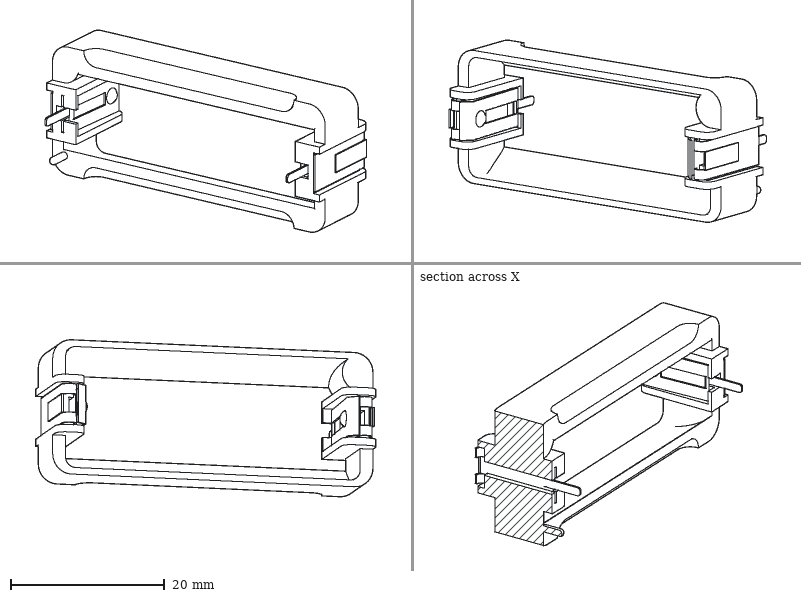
import cadquery as cq
import math

LENGTH = 43.0
HEIGHT = 17.75
FRAME_DEPTH = 7.65
CORNER_RADIUS = 2.55
END_WALL = 1.7
WINDOW_HEIGHT = 10.9
CELL_RADIUS = 8.0
SEAT_END_FILLET = 1.38
GROOVE_RADIUS = 1.95
GROOVE_END_MARGIN = 6.9
KEY_RADIUS = 2.4
POST_RADIUS = 0.5
POST_LENGTH = 2.92
POST_TIP_ROUND = 0.47
POST_INSET = 1.85
POST_Z = -6.28

BLOCK_FRONT = -1.35
BLOCK_BACK = 10.28
BLOCK_HEIGHT = 7.6
BLOCK_ROUND = 1.35
LEFT_BLOCK_WIDTH = 4.6
RIGHT_BLOCK_WIDTH = 3.83
LEFT_PASSAGE_INSET = 1.55
RIGHT_PASSAGE_INSET = 1.75
PASSAGE_HEIGHT = 1.95
CHANNEL_HEIGHT = 5.65
WEB_BACK = 9.25
BLOCK_FRONT_WALL = 0.55
PIN_SLOT_WIDTH = 0.3

STRIP = 0.25
CONTACT_HEIGHT = 5.1
SPRING_WINDOW_HEIGHT = 1.7
SPRING_WINDOW_END = 6.65
OUTER_LEG_INSET = 0.8
PIN_INSET = 2.5
WRAP_Y = 9.7
FOLD_INSET = 3.4
FOLD_Y = -0.47
KNEE_Y = FOLD_Y + FOLD_INSET - PIN_INSET
SPRING_INSET = 3.83
LIP_START_Y = 9.6
LIP_END_INSET = 2.6
LIP_END_Y = 10.75
TAB_HEIGHT = 2.45
TAB_INSET = 0.65
TAB_START = 3.22
TAB_END = 10.3
PIN_WIDTH = 1.15
PIN_TIP_Y = -5.2
PIN_TIP_RADIUS = 0.45
DIMPLE_RADIUS = 1.05
DIMPLE_RISE = 0.55
DIMPLE_Y = 8.0

LEFT_END = -LENGTH / 2
HALF_STRIP = STRIP / 2
WEB_OUTER = OUTER_LEG_INSET + HALF_STRIP
WEB_INNER = PIN_INSET - HALF_STRIP


def box(x_range, y_range, height):
    """Box between two X and two Y values, centred on Z = 0."""
    (x0, x1), (y0, y1) = x_range, y_range
    corner_box = cq.Workplane("XY").box(x1 - x0, y1 - y0, height, centered=(False, False, True))
    return corner_box.translate((x0, y0, 0))


def end_box(inset_range, y_range, height):
    """Box at the left end, placed by its insets."""
    inset0, inset1 = inset_range
    return box((LEFT_END + inset0, LEFT_END + inset1), y_range, height)


def to_right_end(body):
    return body.mirror("YZ")


def frame_outline():
    outline = box((LEFT_END, -LEFT_END), (0, FRAME_DEPTH), HEIGHT)
    return outline.edges("|Y").fillet(CORNER_RADIUS)


def battery_cavity():
    """Cylindrical seat open to the back, joined to a plain window through the front."""
    inner_length = LENGTH - 2 * END_WALL
    lip = WINDOW_HEIGHT / 2
    axis_y = math.sqrt(CELL_RADIUS**2 - lip**2)
    seat_profile = (
        cq.Workplane("YZ", origin=(-inner_length / 2, 0, 0))
        .moveTo(FRAME_DEPTH, CELL_RADIUS)
        .lineTo(axis_y, CELL_RADIUS)
        .threePointArc((axis_y - CELL_RADIUS, 0), (axis_y, -CELL_RADIUS))
        .lineTo(FRAME_DEPTH, -CELL_RADIUS)
        .close()
        .extrude(inner_length)
    )
    seat_bounds = box((-inner_length / 2, inner_length / 2), (0, FRAME_DEPTH), 2 * CELL_RADIUS)
    seat = seat_profile.intersect(seat_bounds.edges("|Y").fillet(SEAT_END_FILLET))
    window = box((-inner_length / 2, inner_length / 2), (0, FRAME_DEPTH), WINDOW_HEIGHT)
    return seat.union(window)


def finger_groove(z):
    """Round groove with ball ends along one front outer edge."""
    half_length = LENGTH / 2 - GROOVE_END_MARGIN
    start = (-half_length, 0, z)
    groove = cq.Workplane("YZ", origin=start).circle(GROOVE_RADIUS).extrude(2 * half_length)
    for x in (-half_length, half_length):
        groove = groove.union(cq.Workplane("XY", origin=(x, 0, z)).sphere(GROOVE_RADIUS))
    return groove


def polarity_key():
    """Quarter-round filling in the upper left corner of the window."""
    key_z = BLOCK_HEIGHT / 2 + KEY_RADIUS
    key = (
        cq.Workplane("XZ", origin=(LEFT_END + END_WALL, 0, key_z))
        .circle(KEY_RADIUS)
        .extrude(-FRAME_DEPTH)
    )
    return key.intersect(frame_outline())


def locating_post():
    base = (LEFT_END + POST_INSET, 0, POST_Z)
    post = cq.Workplane("XZ", origin=base).circle(POST_RADIUS).extrude(POST_LENGTH)
    return post.faces("<Y").edges().fillet(POST_TIP_ROUND)


def block_blank(width):
    block = end_box((0, width), (BLOCK_FRONT, BLOCK_BACK), BLOCK_HEIGHT)
    return block.edges("|Z and >Y").fillet(BLOCK_ROUND)


def block_recesses(width, passage_inset):
    """Everything removed from a terminal block to take its contact."""
    outer_channel = end_box((0, WEB_OUTER), (BLOCK_FRONT, BLOCK_BACK), CHANNEL_HEIGHT)
    back_channel = end_box((0, width), (WEB_BACK, BLOCK_BACK), CHANNEL_HEIGHT)
    pocket = end_box((WEB_INNER, width), (BLOCK_FRONT + BLOCK_FRONT_WALL, BLOCK_BACK), CHANNEL_HEIGHT)
    passage = end_box((passage_inset, width), (BLOCK_FRONT, BLOCK_BACK), PASSAGE_HEIGHT)
    return outer_channel.union(back_channel).union(pocket).union(passage)


def make_housing():
    housing = frame_outline().cut(battery_cavity())
    housing = housing.union(polarity_key())
    for z in (-HEIGHT / 2, HEIGHT / 2):
        housing = housing.cut(finger_groove(z))
    housing = housing.union(locating_post())

    left_recesses = block_recesses(LEFT_BLOCK_WIDTH, LEFT_PASSAGE_INSET)
    pin_slot = end_box(
        (PIN_INSET - PIN_SLOT_WIDTH / 2, PIN_INSET + PIN_SLOT_WIDTH / 2),
        (BLOCK_FRONT, BLOCK_FRONT + BLOCK_FRONT_WALL),
        CONTACT_HEIGHT,
    )
    housing = housing.union(block_blank(LEFT_BLOCK_WIDTH)).cut(left_recesses).cut(pin_slot)

    right_recesses = block_recesses(RIGHT_BLOCK_WIDTH, RIGHT_PASSAGE_INSET)
    housing = housing.union(to_right_end(block_blank(RIGHT_BLOCK_WIDTH)))
    return housing.cut(to_right_end(right_recesses))


def plate(start, end):
    """Flat stretch of strip between two (inset, Y) points of its mid-line."""
    run = (end[0] - start[0], end[1] - start[1])
    middle = ((start[0] + end[0]) / 2, (start[1] + end[1]) / 2)
    flat = cq.Workplane("XY").box(math.hypot(*run), STRIP, CONTACT_HEIGHT)
    flat = flat.rotate((0, 0, 0), (0, 0, 1), math.degrees(math.atan2(run[1], run[0])))
    return flat.translate((LEFT_END + middle[0], middle[1], 0))


def strip_corner(point):
    """Round that joins two flat stretches at a bend."""
    base = (LEFT_END + point[0], point[1], -CONTACT_HEIGHT / 2)
    return cq.Workplane("XY", origin=base).circle(HALF_STRIP).extrude(CONTACT_HEIGHT)


def wrap_bend():
    """Half-turn of the strip over the back of the web."""
    radius = (PIN_INSET - OUTER_LEG_INSET) / 2
    base = (LEFT_END + OUTER_LEG_INSET + radius, WRAP_Y, -CONTACT_HEIGHT / 2)
    ring = (
        cq.Workplane("XY", origin=base)
        .circle(radius + HALF_STRIP)
        .circle(radius - HALF_STRIP)
        .extrude(CONTACT_HEIGHT)
    )
    return ring.intersect(end_box((0, 2 * PIN_INSET), (WRAP_Y, WRAP_Y + PIN_INSET), CONTACT_HEIGHT))


def contact_strip():
    """Strip from the outer leg, over the web, down to the fold and back up to the lip."""
    spring_line = [
        (PIN_INSET, WRAP_Y),
        (PIN_INSET, KNEE_Y),
        (FOLD_INSET, FOLD_Y),
        (SPRING_INSET, LIP_START_Y),
        (LIP_END_INSET, LIP_END_Y),
    ]
    strip = plate((OUTER_LEG_INSET, BLOCK_FRONT), (OUTER_LEG_INSET, WRAP_Y)).union(wrap_bend())
    for start, end in zip(spring_line, spring_line[1:]):
        strip = strip.union(plate(start, end))
    for bend in spring_line[1:-1]:
        strip = strip.union(strip_corner(bend))
    return strip


def spring_window():
    """Opening through the spring leg behind the fold."""
    inset_range = (FOLD_INSET - STRIP, SPRING_INSET + STRIP)
    return end_box(inset_range, (FOLD_Y + STRIP, SPRING_WINDOW_END), SPRING_WINDOW_HEIGHT)


def latch_tab():
    """Straight tongue left standing where the strip bends over the web."""
    return end_box((TAB_INSET - HALF_STRIP, TAB_INSET + HALF_STRIP), (TAB_START, TAB_END), TAB_HEIGHT)


def solder_pin():
    pin = end_box((PIN_INSET - HALF_STRIP, PIN_INSET + HALF_STRIP), (PIN_TIP_Y, KNEE_Y), PIN_WIDTH)
    return pin.edges("|X and <Y").fillet(PIN_TIP_RADIUS)


def contact_dimple():
    """Spherical cap on the inward face of the spring leg, rooted in the leg's mid-line."""
    ball_radius = (DIMPLE_RADIUS**2 + DIMPLE_RISE**2) / (2 * DIMPLE_RISE)
    rise = DIMPLE_RISE + HALF_STRIP
    rim = math.sqrt(ball_radius**2 - (ball_radius - rise) ** 2)
    half_angle = math.acos(1 - rise / ball_radius) / 2
    shoulder = (
        rise - ball_radius + ball_radius * math.cos(half_angle),
        ball_radius * math.sin(half_angle),
    )
    return (
        cq.Workplane("XY", origin=(LEFT_END + SPRING_INSET, DIMPLE_Y, 0))
        .lineTo(rise, 0)
        .threePointArc(shoulder, (0, rim))
        .close()
        .revolve(360, (0, 0, 0), (1, 0, 0))
    )


def make_contact():
    """Contact for the left end."""
    tab_opening = end_box((0, PIN_INSET - HALF_STRIP), (WRAP_Y, WRAP_Y + PIN_INSET), TAB_HEIGHT)
    strip = contact_strip().cut(tab_opening).cut(spring_window())
    return strip.union(latch_tab()).union(solder_pin()).union(contact_dimple())


housing = make_housing()
left_contact = make_contact()
right_contact = to_right_end(left_contact)

bodies = [*housing.solids().vals()]
for contact in (left_contact, right_contact):
    bodies.extend(contact.solids().vals())
result = cq.Compound.makeCompound(bodies)